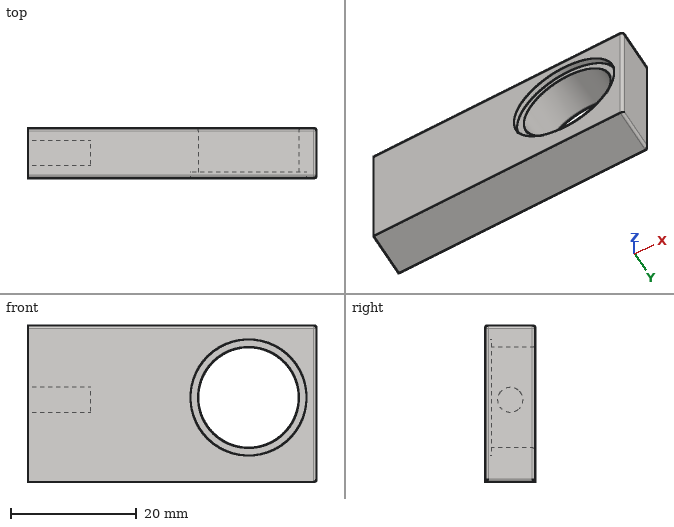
import cadquery as cq

length = 46.0
thickness = 8.0
height = 25.0
edge_radius = 0.5

bore_diameter = 16.0
counterbore_diameter = 18.5
counterbore_depth = 1.0
bore_x = 35.15
bore_z = 13.5

end_hole_diameter = 4.0
end_hole_depth = 10.0
end_hole_z = 13.1


def rounded_block():
    """Block rounded around the right face and along the top; left and lower long edges stay sharp."""
    block = cq.Workplane("XY").box(length, thickness, height, centered=(False, True, False))
    right_and_top_edges = block.faces(">X").edges().add(block.faces(">Z").edges("|X"))
    return right_and_top_edges.fillet(edge_radius)


def cylinder_along_y(diameter, start_y, depth):
    """Cylinder on the bore axis, running from start_y toward +Y."""
    return (
        cq.Workplane("XZ", origin=(bore_x, start_y, bore_z))
        .circle(diameter / 2)
        .extrude(-depth)
    )


front_y = -thickness / 2
bore = cylinder_along_y(bore_diameter, front_y, thickness)
counterbore = cylinder_along_y(counterbore_diameter, front_y, counterbore_depth)
end_hole = (
    cq.Workplane("YZ", origin=(0, 0, end_hole_z))
    .circle(end_hole_diameter / 2)
    .extrude(end_hole_depth)
)

drilled_block = rounded_block().cut(bore).cut(counterbore).cut(end_hole)
result = drilled_block.faces(">Y").edges("%CIRCLE").fillet(edge_radius)